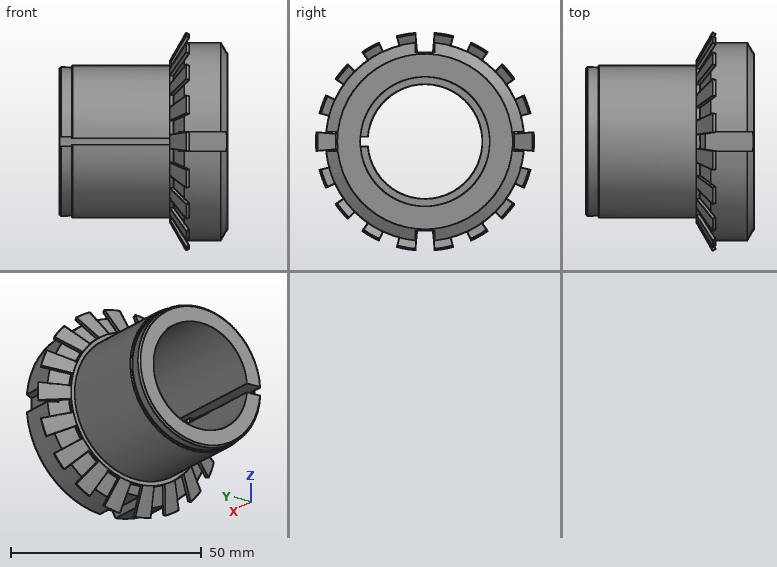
import cadquery as cq
import math


length = 44.0
ring_start = 3.15
washer_start = 28.8
nut_rim_end = 42.2

bore_radius = 15.0
thread_radius = 33.9 / 2
taper_radius_large = 19.45
taper_radius_small = 18.0
sleeve_chamfer = 0.5
sleeve_slit_width = 2.45

ring_radius = 19.95
ring_chamfer = 0.35
ring_slit_width = 1.7

washer_bore_radius = 35.0 / 2
washer_thickness = 0.9
bend_radius = 21.1
tooth_tip_radius = 28.6
bend_angle = math.radians(30)
tooth_count = 18

nut_radius = 26.0
nut_slot_width = 5.05
nut_slot_floor_radius = 23.35
nut_slot_count = 4

taper_slope = (taper_radius_large - taper_radius_small) / (washer_start - ring_start)
sleeve_end_radius = taper_radius_large + taper_slope * ring_start
nut_start = washer_start + washer_thickness
cone_slope = math.tan(bend_angle)
back_bend_radius = bend_radius - washer_thickness * math.tan(bend_angle / 2)
tooth_pitch = 360 / tooth_count


def revolve_profile(points):
    """Turn a closed (x, radius) outline around the X axis, with the seam on the -Y side."""
    outline = [(x, -radius) for x, radius in points]
    return cq.Workplane("XY").polyline(outline).close().revolve(360, (0, 0, 0), (1, 0, 0))


def slit(width):
    """Slab that opens a hollow body along its -Y side."""
    slab = cq.Workplane("XY").box(length, ring_radius, width, centered=(False, False, True))
    return slab.translate((0, -ring_radius, 0))


def make_sleeve():
    """Slit sleeve: external taper at the front, thread cylinder at the back."""
    chamfer_radius = sleeve_end_radius - sleeve_chamfer
    body = revolve_profile([
        (0, bore_radius),
        (0, chamfer_radius),
        (sleeve_chamfer, sleeve_end_radius - taper_slope * sleeve_chamfer),
        (washer_start, taper_radius_small),
        (washer_start, thread_radius),
        (length, thread_radius),
        (length, bore_radius),
    ])
    return body.cut(slit(sleeve_slit_width))


def make_ring():
    """Slit ring whose tapered bore seats on the sleeve."""
    body = revolve_profile([
        (ring_start, taper_radius_large),
        (ring_start, ring_radius - ring_chamfer),
        (ring_start + ring_chamfer, ring_radius),
        (washer_start, ring_radius),
        (washer_start, taper_radius_small),
    ])
    return body.cut(slit(ring_slit_width))


def make_tooth_gaps():
    """Radial-sided gaps between the washer teeth, as wide in angle as the teeth."""
    reach = 2 * tooth_tip_radius
    half_width = reach * math.tan(math.radians(tooth_pitch / 4))
    wedge = (
        cq.Workplane("YZ")
        .polyline([(0, 0), (reach, -half_width), (reach, half_width)])
        .close()
        .extrude(length)
        .cut(cq.Workplane("YZ").circle(bend_radius).extrude(length))
    )
    return [wedge.rotate((0, 0, 0), (1, 0, 0), (i + 0.5) * tooth_pitch) for i in range(tooth_count)]


def make_washer():
    """Flat disc with teeth bent back towards the nut, their tips cut square."""
    tip_x = washer_start + (tooth_tip_radius - bend_radius) * cone_slope
    washer = revolve_profile([
        (washer_start, washer_bore_radius),
        (washer_start, bend_radius),
        (tip_x, tooth_tip_radius),
        (
            tip_x + washer_thickness * math.cos(bend_angle),
            tooth_tip_radius - washer_thickness * math.sin(bend_angle),
        ),
        (nut_start, back_bend_radius),
        (nut_start, washer_bore_radius),
    ])
    for gap in make_tooth_gaps():
        washer = washer.cut(gap)
    return washer


def make_nut():
    """Nut with a cone behind the washer teeth, a rear chamfer and key slots."""
    bore_chamfer = washer_bore_radius - thread_radius
    nut = revolve_profile([
        (nut_start, washer_bore_radius),
        (nut_start, back_bend_radius),
        (nut_start + (nut_radius - back_bend_radius) * cone_slope, nut_radius),
        (nut_rim_end, nut_radius),
        (length, nut_radius - (length - nut_rim_end) / cone_slope),
        (length, thread_radius),
        (nut_start + bore_chamfer, thread_radius),
    ])
    slot = cq.Workplane("XY").box(length, nut_radius, nut_slot_width, centered=(False, False, True))
    slot = slot.translate((0, nut_slot_floor_radius, 0))
    for i in range(nut_slot_count):
        nut = nut.cut(slot.rotate((0, 0, 0), (1, 0, 0), i * 360 / nut_slot_count))
    return nut


sleeve = make_sleeve()
ring = make_ring()
washer = make_washer()
nut = make_nut()

result = cq.Compound.makeCompound([sleeve.val(), ring.val(), washer.val(), nut.val()])